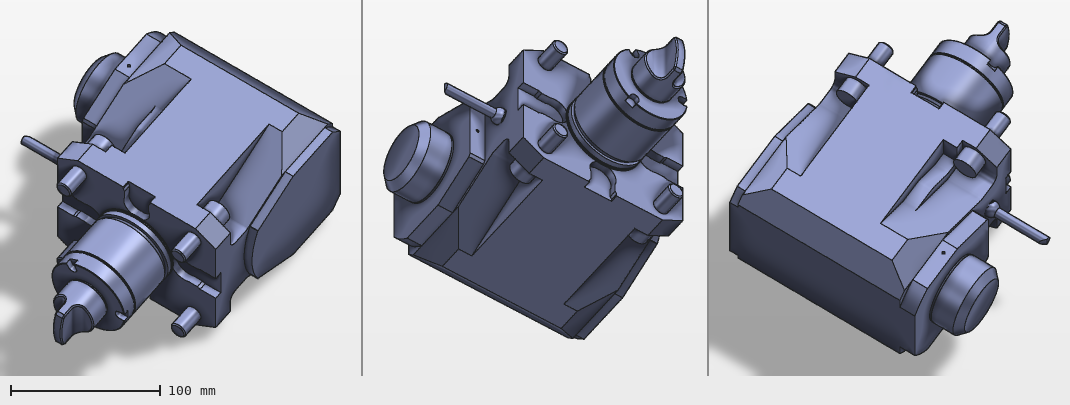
import cadquery as cq
import math


half_width = 65.0
half_height = 54.0
back_y = 133.5
back_chamfer = 15.5
corner_width = 16.6
corner_height = 10.1
side_half_height = half_height - corner_height

flange_thickness = 16.9
ridge_half_width = 37.5
relief_start_y = 99.1
relief_floor_z = 26.8
relief_floor_y = 35.3
relief_foot_round = 6.0
relief_round = 6.7
overcut = 4.5

pocket_wall_x = -26.5
pocket_front_y = 23.5
pocket_upper_z = 42.3
pocket_lower_z = 34.2
pocket_bend_y = 53.0
pocket_round = 9.0

slot_depth = 5.8
slot_end_radius = 10.5
slot_end_center = 39.1
slot_neck_half = 10.0
slot_mouth_half = 11.0
slot_flare_start = 50.0
slot_flare_end = 52.2

motor_y = 90.0
left_cover_x = -76.9
left_cover_radius = 52.2
left_cover_front_y = 44.7
left_cover_slope_y = 82.3
right_cover_x = 71.5
right_cover_radius = 57.5
right_cover_lip_y = 39.3
right_cover_chamfer = 9.0
motor_end_x = -101.4
motor_diameter = 52.4
motor_chamfer = 5.6
motor_undercut_diameter = 51.7
motor_undercut_width = 1.3
pin_hole_diameter = 2.1
pin_hole_depth = 4.5

cable_end_x = -111.0
cable_y = 25.9
cable_diameter = 7.0
cable_bevel_length = 4.0
gland_diameter = 12.0
gland_x = -66.3

screw_x = 47.0
screw_z = 41.8
screw_diameter = 12.0
screw_head_diameter = 18.0
screw_head_length = 11.7
screw_length = 18.5
screw_chamfer = 1.0

spindle_diameter = 59.8
pilot_diameter = 57.5
flange_diameter = 60.2
flange_groove_diameter = 59.3
flange_groove_start = 0.7
flange_groove_end = 1.8
seal_groove_diameter = 55.3
seal_groove_start = 6.0
seal_groove_end = 9.5
nut_joint_start = 42.7
nut_joint_end = 43.8
nut_joint_depth = 0.7
nut_chamfer = 0.5
nose_face = 55.5
shaft_diameter = 33.0
shaft_neck_diameter = 31.7
shaft_neck_length = 1.3
nut_slot_width = 7.0
nut_slot_center = 25.9
nut_slot_depth = 4.3

tip = 91.3
blade_thickness = 7.0
blade_shoulder = 72.8
blade_fillet = 6.3
blade_corner_start = 86.5
blade_crown_start = 88.8
blade_crown_half = 14.8
blade_edge_chamfer = 1.0


def along_x(points, x0, x1):
    """Prism with a (Y, Z) outline between two X positions."""
    return cq.Workplane("YZ").workplane(offset=x0).polyline(points).close().extrude(x1 - x0)


def disc_x(diameter, x0, x1, y):
    """Cylinder along X centred at (y, 0)."""
    return cq.Workplane("YZ").workplane(offset=x0).center(y, 0).circle(diameter / 2).extrude(x1 - x0)


def rod_y(diameter, y0, y1, x=0, z=0):
    """Cylinder along Y running from y0 forward to a smaller y1."""
    return cq.Workplane("XZ").workplane(offset=-y0).center(x, z).circle(diameter / 2).extrude(y0 - y1)


def mirrored_outline(upper):
    """Close the upper half of an outline by reflecting it about Z = 0."""
    return upper + [(across, -z) for across, z in reversed(upper)]


def relief_slope():
    return (half_height - relief_floor_z) / (relief_start_y - relief_floor_y)


def make_block():
    side = mirrored_outline([
        (0, half_height),
        (back_y - back_chamfer, half_height),
        (back_y, half_height - back_chamfer),
    ])
    block = along_x(side, -half_width, half_width)
    inner_x = half_width - corner_width
    upper = [
        (-half_width, side_half_height),
        (-inner_x, half_height),
        (inner_x, half_height),
        (half_width, side_half_height),
    ]
    octagon = cq.Workplane("XZ").polyline(mirrored_outline(upper)).close().extrude(-back_y)
    return block.intersect(octagon)


def make_relief(x0, x1):
    """Upper sloped relief cutter between two X positions."""
    top_z = half_height + overcut
    points = [
        (relief_start_y + overcut / relief_slope(), top_z),
        (relief_floor_y, relief_floor_z),
        (flange_thickness, relief_floor_z),
        (flange_thickness, top_z),
    ]
    middle_x = (x0 + x1) / 2
    bend = cq.selectors.NearestToPointSelector((middle_x, relief_floor_y, relief_floor_z))
    foot = cq.selectors.NearestToPointSelector((middle_x, flange_thickness, relief_floor_z))
    relief = along_x(points, x0, x1)
    return relief.edges(bend).fillet(relief_round).edges(foot).fillet(relief_foot_round)


def make_pocket():
    top_z = half_height + overcut
    slope = relief_slope()
    upper_y = relief_start_y - (half_height - pocket_upper_z) / slope
    lower_y = pocket_bend_y - (pocket_upper_z - pocket_lower_z) / slope
    points = [
        (relief_start_y + overcut / slope, top_z),
        (upper_y, pocket_upper_z),
        (pocket_bend_y, pocket_upper_z),
        (lower_y, pocket_lower_z),
        (pocket_front_y, pocket_lower_z),
        (pocket_front_y, top_z),
    ]
    pocket = along_x(points, -ridge_half_width, pocket_wall_x)
    middle_x = (pocket_wall_x - ridge_half_width) / 2
    for y, z in points[1:4]:
        bend = cq.selectors.NearestToPointSelector((middle_x, y, z))
        pocket = pocket.edges(bend).fillet(pocket_round)
    return pocket


def make_slot(reach):
    """Coolant slot running along +X out past the given housing side."""
    neck_start = slot_end_center + math.sqrt(slot_end_radius**2 - slot_neck_half**2)
    outer = reach + overcut
    return (
        cq.Workplane("XZ")
        .moveTo(neck_start, slot_neck_half)
        .lineTo(slot_flare_start, slot_neck_half)
        .lineTo(slot_flare_end, slot_mouth_half)
        .lineTo(outer, slot_mouth_half)
        .lineTo(outer, -slot_mouth_half)
        .lineTo(slot_flare_end, -slot_mouth_half)
        .lineTo(slot_flare_start, -slot_neck_half)
        .lineTo(neck_start, -slot_neck_half)
        .threePointArc((slot_end_center - slot_end_radius, 0), (neck_start, slot_neck_half))
        .close()
        .extrude(-slot_depth)
    )


def make_housing():
    housing = make_block()
    outer_x = half_width + overcut
    for x0, x1 in ((-outer_x, -ridge_half_width), (ridge_half_width, outer_x)):
        relief = make_relief(x0, x1)
        housing = housing.cut(relief).cut(relief.mirror("XY"))
    housing = housing.cut(make_pocket())
    for angle in range(0, 360, 90):
        slot = make_slot(half_width).rotate((0, 0, 0), (0, 1, 0), angle)
        housing = housing.cut(slot)
    return housing


def make_left_cover():
    slope_drop = (left_cover_slope_y - left_cover_front_y) * relief_slope()
    upper = [
        (left_cover_front_y, side_half_height - slope_drop),
        (left_cover_slope_y, side_half_height),
        (back_y, side_half_height),
    ]
    cover = along_x(mirrored_outline(upper), left_cover_x, -half_width)
    cover = cover.intersect(disc_x(2 * left_cover_radius, left_cover_x, -half_width, motor_y))
    hole_x = (left_cover_x - half_width) / 2
    top_hole = (
        cq.Workplane("XY").workplane(offset=side_half_height - pin_hole_depth)
        .center(hole_x, motor_y).circle(pin_hole_diameter / 2).extrude(pin_hole_depth)
    )
    front_hole = rod_y(pin_hole_diameter, left_cover_front_y + pin_hole_depth, left_cover_front_y, hole_x)
    return cover.cut(top_hole).cut(front_hole)


def make_right_cover():
    lip_start = motor_y - right_cover_radius
    slope_run = (side_half_height - relief_floor_z) / relief_slope()
    upper = [
        (lip_start, relief_floor_z),
        (right_cover_lip_y, relief_floor_z),
        (right_cover_lip_y + slope_run, side_half_height),
        (back_y - right_cover_chamfer, side_half_height),
        (back_y, side_half_height - right_cover_chamfer),
    ]
    cover = along_x(mirrored_outline(upper), half_width, right_cover_x)
    return cover.intersect(disc_x(2 * right_cover_radius, half_width, right_cover_x, motor_y))


def make_motor():
    undercut_x = left_cover_x - motor_undercut_width
    motor = disc_x(motor_diameter, motor_end_x, undercut_x, motor_y)
    undercut = disc_x(motor_undercut_diameter, undercut_x, left_cover_x, motor_y)
    return motor.faces("<X").chamfer(motor_chamfer).union(undercut)


def make_cable():
    cable = disc_x(cable_diameter, cable_end_x, -half_width, cable_y)
    bevel = (
        cq.Workplane("XY").workplane(offset=-cable_diameter)
        .moveTo(cable_end_x, cable_y)
        .lineTo(cable_end_x + cable_bevel_length, cable_y + cable_diameter / 2)
        .lineTo(cable_end_x, cable_y + cable_diameter / 2)
        .close()
        .extrude(2 * cable_diameter)
    )
    gland = cq.Workplane("XY").sphere(gland_diameter / 2).translate((gland_x, cable_y, 0))
    return cable.cut(bevel).union(gland)


def make_screw(x, z):
    shank = rod_y(screw_diameter, flange_thickness, -screw_length, x, z)
    shank = shank.faces("<Y").chamfer(screw_chamfer)
    head = rod_y(screw_head_diameter, flange_thickness + screw_head_length, flange_thickness, x, z)
    return shank.union(head)


def make_nose():
    radius = spindle_diameter / 2
    pilot_radius = pilot_diameter / 2
    flange_radius = flange_diameter / 2
    flange_groove_radius = flange_groove_diameter / 2
    seal_groove_radius = seal_groove_diameter / 2
    joint_radius = radius - nut_joint_depth
    profile = [
        (0, slot_depth), (pilot_radius, slot_depth),
        (pilot_radius, 0), (flange_radius, 0),
        (flange_radius, -flange_groove_start), (flange_groove_radius, -flange_groove_start),
        (flange_groove_radius, -flange_groove_end), (flange_radius, -flange_groove_end),
        (flange_radius, -seal_groove_start), (seal_groove_radius, -seal_groove_start),
        (seal_groove_radius, -seal_groove_end), (radius, -seal_groove_end),
        (radius, -nut_joint_start), (joint_radius, -nut_joint_start),
        (joint_radius, -nut_joint_end), (radius, -nut_joint_end),
        (radius, nut_chamfer - nose_face), (radius - nut_chamfer, -nose_face),
        (0, -nose_face),
    ]
    nose = cq.Workplane("XY").polyline(profile).close().revolve(360, (0, 0, 0), (0, 1, 0))
    slot_start = -nose_face + nut_slot_depth
    slot = rod_y(nut_slot_width, slot_start, -nose_face, nut_slot_center)
    mouth = cq.Workplane("XY").box(
        radius, nut_slot_depth, nut_slot_width, centered=(False, False, True)
    ).translate((nut_slot_center, -nose_face, 0))
    slot = slot.union(mouth)
    for angle in (0, 120, 240):
        nose = nose.cut(slot.rotate((0, 0, 0), (0, 1, 0), angle))
    return nose


def make_shaft():
    shaft_radius = shaft_diameter / 2
    neck_end = nose_face + shaft_neck_length
    neck = rod_y(shaft_neck_diameter, -nose_face, -neck_end)
    shaft = rod_y(shaft_diameter, -neck_end, -tip)

    half_blade = blade_thickness / 2
    fillet_end = half_blade + blade_fillet
    arc_inset = blade_fillet * (1 - math.sqrt(0.5))
    side_cut = (
        cq.Workplane("XY").workplane(offset=-shaft_radius)
        .moveTo(half_blade, -tip)
        .lineTo(half_blade, -blade_shoulder - blade_fillet)
        .threePointArc((half_blade + arc_inset, -blade_shoulder - arc_inset), (fillet_end, -blade_shoulder))
        .lineTo(shaft_diameter, -blade_shoulder)
        .lineTo(shaft_diameter, -tip)
        .close()
        .extrude(shaft_diameter)
    )
    crown = (
        cq.Workplane("YZ").workplane(offset=-shaft_radius)
        .moveTo(-neck_end, shaft_radius)
        .lineTo(-blade_corner_start, shaft_radius)
        .lineTo(-blade_crown_start, blade_crown_half)
        .threePointArc((-tip, 0), (-blade_crown_start, -blade_crown_half))
        .lineTo(-blade_corner_start, -shaft_radius)
        .lineTo(-neck_end, -shaft_radius)
        .close()
        .extrude(shaft_diameter)
    )
    shaft = shaft.cut(side_cut).cut(side_cut.mirror("YZ")).intersect(crown)
    for side in (-1, 1):
        blade_face = cq.selectors.NearestToPointSelector((side * half_blade, -(blade_shoulder + tip) / 2, 0))
        shaft = shaft.faces(blade_face).chamfer(blade_edge_chamfer)
    return neck.union(shaft)


result = make_housing()
for component in (make_left_cover(), make_right_cover(), make_motor(), make_cable()):
    result = result.union(component)
for sign_x in (-1, 1):
    for sign_z in (-1, 1):
        result = result.union(make_screw(sign_x * screw_x, sign_z * screw_z))
result = result.union(make_nose()).union(make_shaft())